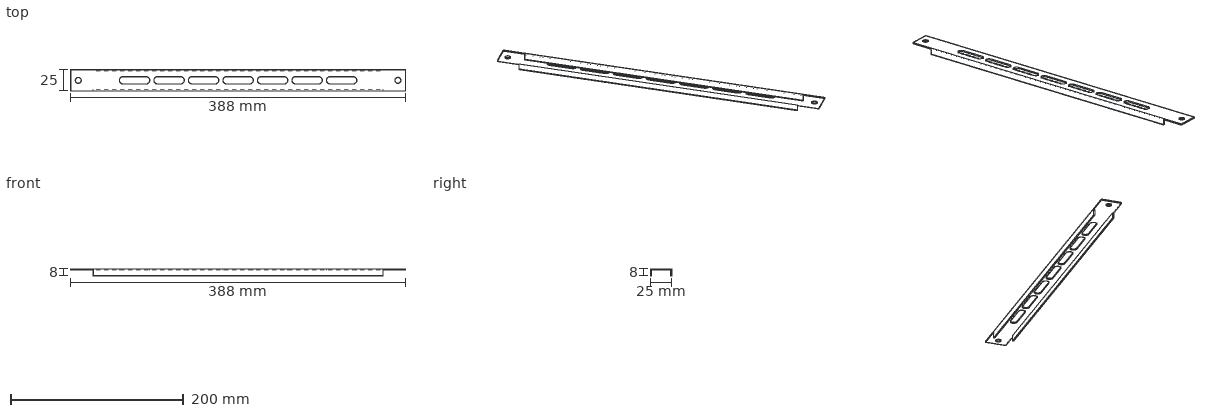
import cadquery as cq

length = 388.0
width = 25.0
height = 8.0
thickness = 1.5

flange_length = 336.0

slot_count = 7
slot_pitch = 40.0
slot_length = 35.0
slot_width = 8.0

hole_diameter = 6.5
hole_spacing = 370.0


def make_strip():
    """Flat strip with its upper face at Z = 0."""
    return cq.Workplane("XY").box(length, width, thickness, centered=(True, True, False)).translate(
        (0, 0, -thickness)
    )


def make_flange(side):
    """Downward flange on the +Y (side = 1) or -Y (side = -1) edge."""
    center_y = side * (width - thickness) / 2
    return cq.Workplane("XY").box(flange_length, thickness, height).translate((0, center_y, -height / 2))


def cut_slots(body):
    """Cut the centered row of round-ended slots through the strip."""
    cutter = (
        cq.Workplane("XY")
        .rarray(slot_pitch, 4, slot_count, 1)
        .slot2D(slot_length, slot_width)
        .extrude(-thickness)
    )
    return body.cut(cutter)


def cut_holes(body):
    """Cut one mounting hole through each end of the strip."""
    cutter = (
        cq.Workplane("XY")
        .rarray(hole_spacing, 4, 2, 1)
        .circle(hole_diameter / 2)
        .extrude(-thickness)
    )
    return body.cut(cutter)


channel = make_strip()
for edge_side in (-1, 1):
    channel = channel.union(make_flange(edge_side))

result = cut_holes(cut_slots(channel))